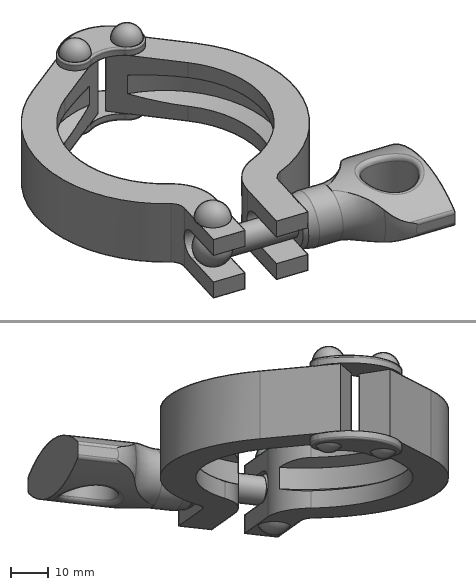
import cadquery as cq
import math


ring_inner_radius = 29.2
band_thickness = 9.6
band_height = 19.0
flank_angle = 140.4
hinge_gap = 2.2
lug_gap = 9.6
lug_end_x = 55.6
neck_radius = 3.9

groove_radius = 33.7
groove_mouth_height = 9.3
groove_floor_height = 6.0

rivet_x = -37.6
rivet_y = 7.9
link_left_x = -46.9
link_waist_x = -34.9
link_end_radius = 5.0
link_thickness = 2.3
link_edge_round = 0.7
rivet_ball_radius = 4.5
rivet_top_rise = 4.1
rivet_bottom_rise = 1.7

bolt_x = 46.0
bolt_radius = 4.0
slot_width = 8.7
slot_start_x = 38.5
eye_radius = 5.6
pivot_ball_radius = 5.1
pivot_top_rise = 4.6
pivot_bottom_rise = 2.3

nut_radius = 8.0
nut_seat_radius = 6.7
nut_lip_radius = 7.5
nut_lip_length = 1.3
nut_taper_length = 4.3
nut_neck_y = 25.8
nut_top_y = 54.5
neck_sweep_radius = 11.7
shoulder_radius = 9.9
flare_radius = 18.3
wing_half_width = 18.2
wing_half_thickness = 7.9
wing_edge_half_thickness = 2.1
wing_edge_round = 1.3
eyelet_y = 44.0
eyelet_radius = 7.9
eyelet_round = 1.3

ring_outer_radius = ring_inner_radius + band_thickness
half_height = band_height / 2
lug_inner_y = lug_gap / 2
lug_outer_y = lug_inner_y + band_thickness
lug_mid_y = (lug_inner_y + lug_outer_y) / 2
link_face_z = half_height + link_thickness


def polar(center, radius, angle):
    """Point at a radius and an angle in radians around a center."""
    return (center[0] + radius * math.cos(angle), center[1] + radius * math.sin(angle))


def band_half():
    """Half clamp at +Y: straight flank, ring arc, neck bend and lug."""
    normal = math.radians(flank_angle)
    flank_length = (ring_inner_radius * math.sin(normal) - hinge_gap / 2) / -math.cos(normal)

    neck_center_y = lug_outer_y + neck_radius
    neck_distance = ring_outer_radius + neck_radius
    neck_angle = math.asin(neck_center_y / neck_distance)
    neck_center = polar((0, 0), neck_distance, neck_angle)
    ring_mid_angle = (normal + neck_angle) / 2
    bend_start = math.pi + neck_angle
    bend_mid = (bend_start + 1.5 * math.pi) / 2
    inner_bend_radius = neck_radius + band_thickness

    def flank_end(radius):
        return polar(polar((0, 0), radius, normal), flank_length, normal + math.pi / 2)

    outline = (
        cq.Workplane("XY", origin=(0, 0, -half_height))
        .moveTo(*flank_end(ring_outer_radius))
        .lineTo(*polar((0, 0), ring_outer_radius, normal))
        .threePointArc(
            polar((0, 0), ring_outer_radius, ring_mid_angle),
            polar((0, 0), ring_outer_radius, neck_angle),
        )
        .threePointArc(polar(neck_center, neck_radius, bend_mid), (neck_center[0], lug_outer_y))
        .lineTo(lug_end_x, lug_outer_y)
        .lineTo(lug_end_x, lug_inner_y)
        .lineTo(neck_center[0], lug_inner_y)
        .threePointArc(
            polar(neck_center, inner_bend_radius, bend_mid),
            polar(neck_center, inner_bend_radius, bend_start),
        )
        .threePointArc(
            polar((0, 0), ring_inner_radius, ring_mid_angle),
            polar((0, 0), ring_inner_radius, normal),
        )
        .lineTo(*flank_end(ring_inner_radius))
        .close()
    )
    return outline.extrude(band_height)


def flange_groove():
    """Solid of revolution whose rim leaves the tapered groove in the ring."""
    mouth = groove_mouth_height / 2
    floor = groove_floor_height / 2
    return (
        cq.Workplane("XZ")
        .polyline([
            (0, -mouth),
            (ring_inner_radius, -mouth),
            (groove_radius, -floor),
            (groove_radius, floor),
            (ring_inner_radius, mouth),
            (0, mouth),
        ])
        .close()
        .revolve(360, (0, 0), (0, 1))
    )


def bolt_slot():
    """Slot through both lugs, open at the lug ends and round at the start."""
    round_x = slot_start_x + slot_width / 2
    slot_length = lug_end_x - round_x
    round_end = (
        cq.Workplane("XZ")
        .center(round_x, 0)
        .circle(slot_width / 2)
        .extrude(lug_outer_y, both=True)
    )
    straight = (
        cq.Workplane("XY")
        .box(slot_length, 2 * lug_outer_y, slot_width)
        .translate((round_x + slot_length / 2, 0, 0))
    )
    return round_end.union(straight)


def ball_cap(x, y, face_z, ball_radius, rise):
    """Ball segment of a given rise standing on the plane Z = face_z."""
    foot_radius = math.sqrt(ball_radius**2 - (ball_radius - rise) ** 2)
    shoulder = polar((0, rise - ball_radius), ball_radius, math.pi / 4)
    cap = (
        cq.Workplane("XZ")
        .moveTo(0, 0)
        .lineTo(foot_radius, 0)
        .threePointArc(shoulder, (0, rise))
        .close()
        .revolve(360, (0, 0), (0, 1))
    )
    return cap.translate((x, y, face_z))


def flip(body):
    """Turn a body upside down about the mid-height plane."""
    return body.mirror("XY")


def hinge_link():
    """Curved link on top of the band, round-ended around both rivets."""
    outer_reach = rivet_x - link_left_x
    outer_offset = outer_reach**2 + rivet_y**2 - link_end_radius**2
    outer_radius = outer_offset / (2 * (outer_reach - link_end_radius))
    waist_reach = link_waist_x - rivet_x
    waist_offset = waist_reach**2 + rivet_y**2 - link_end_radius**2
    waist_radius = waist_offset / (2 * (link_end_radius - waist_reach))
    outer_center_x = link_left_x + outer_radius
    waist_center_x = link_waist_x + waist_radius

    outer_angle = math.atan2(rivet_y, rivet_x - outer_center_x)
    waist_angle = math.atan2(rivet_y, rivet_x - waist_center_x)
    outer_top = polar((outer_center_x, 0), outer_radius, outer_angle)
    outer_bottom = (outer_top[0], -outer_top[1])
    waist_top = polar((waist_center_x, 0), waist_radius, waist_angle)
    waist_bottom = (waist_top[0], -waist_top[1])
    end_mid_angle = (outer_angle + waist_angle - math.pi) / 2
    end_top = polar((rivet_x, rivet_y), link_end_radius, end_mid_angle)
    end_bottom = (end_top[0], -end_top[1])
    return (
        cq.Workplane("XY", origin=(0, 0, half_height))
        .moveTo(*outer_bottom)
        .threePointArc((link_left_x, 0), outer_top)
        .threePointArc(end_top, waist_top)
        .threePointArc((link_waist_x, 0), waist_bottom)
        .threePointArc(end_bottom, outer_bottom)
        .close()
        .extrude(link_thickness)
        .faces(">Z")
        .edges()
        .fillet(link_edge_round)
    )


def swing_bolt():
    """Bolt along Y with a ball eye at the pivot in the -Y lug."""
    shank = (
        cq.Workplane("XZ", origin=(bolt_x, -lug_mid_y, 0))
        .circle(bolt_radius)
        .extrude(-(lug_mid_y + nut_neck_y))
    )
    eye = cq.Workplane("XY").sphere(eye_radius).translate((bolt_x, -lug_mid_y, 0))
    return shank.union(eye)


def wing_nut():
    """Barrel flaring into two wings, thinned to a lens section, with an eyelet."""
    sweep_center = (nut_radius + neck_sweep_radius, nut_neck_y)
    shoulder_center_x = flare_radius - shoulder_radius
    center_distance = neck_sweep_radius + shoulder_radius
    blend_angle = math.acos((sweep_center[0] - shoulder_center_x) / center_distance)
    shoulder_center = (shoulder_center_x, nut_neck_y + center_distance * math.sin(blend_angle))
    sweep_mid_angle = math.pi - blend_angle / 2
    flare = (
        cq.Workplane("XY")
        .moveTo(0, lug_outer_y)
        .lineTo(nut_seat_radius, lug_outer_y)
        .lineTo(nut_lip_radius, lug_outer_y + nut_lip_length)
        .lineTo(nut_radius, lug_outer_y + nut_taper_length)
        .lineTo(nut_radius, nut_neck_y)
        .threePointArc(
            polar(sweep_center, neck_sweep_radius, sweep_mid_angle),
            polar(sweep_center, neck_sweep_radius, math.pi - blend_angle),
        )
        .threePointArc(
            polar(shoulder_center, shoulder_radius, -blend_angle / 2),
            (flare_radius, shoulder_center[1]),
        )
        .lineTo(flare_radius, nut_top_y)
        .lineTo(0, nut_top_y)
        .close()
        .revolve(360, (0, 0), (0, 1))
    )
    lens = (
        cq.Workplane("XZ", origin=(0, nut_neck_y, 0))
        .moveTo(-wing_half_width, wing_edge_half_thickness)
        .threePointArc((0, wing_half_thickness), (wing_half_width, wing_edge_half_thickness))
        .lineTo(wing_half_width, -wing_edge_half_thickness)
        .threePointArc((0, -wing_half_thickness), (-wing_half_width, -wing_edge_half_thickness))
        .close()
        .extrude(nut_neck_y - nut_top_y)
        .edges("|Y")
        .fillet(wing_edge_round)
        .cut(cq.Workplane("XY").center(0, eyelet_y).circle(eyelet_radius).extrude(nut_top_y, both=True))
    )
    rim_reach = eyelet_radius + eyelet_round
    eyelet_rims = cq.selectors.BoxSelector(
        (-rim_reach, eyelet_y - rim_reach, -wing_half_width),
        (rim_reach, eyelet_y + rim_reach, wing_half_width),
        boundingbox=True,
    )
    lens = lens.edges(eyelet_rims).edges("not |Z").fillet(eyelet_round)
    barrel_length = nut_neck_y - lug_outer_y
    barrel_zone = (
        cq.Workplane("XY")
        .box(2 * flare_radius, barrel_length, 2 * flare_radius)
        .translate((0, lug_outer_y + barrel_length / 2, 0))
    )
    return flare.intersect(lens).union(flare.intersect(barrel_zone)).translate((bolt_x, 0, 0))


upper_half = band_half()
result = upper_half.union(upper_half.mirror("XZ")).cut(flange_groove()).cut(bolt_slot())

link = hinge_link()
result = result.union(link).union(flip(link))
for side in (-1, 1):
    rivet_top = ball_cap(rivet_x, side * rivet_y, link_face_z, rivet_ball_radius, rivet_top_rise)
    rivet_bottom = flip(ball_cap(rivet_x, side * rivet_y, link_face_z, rivet_ball_radius, rivet_bottom_rise))
    result = result.union(rivet_top).union(rivet_bottom)

pivot_top = ball_cap(bolt_x, -lug_mid_y, half_height, pivot_ball_radius, pivot_top_rise)
pivot_bottom = flip(ball_cap(bolt_x, -lug_mid_y, half_height, pivot_ball_radius, pivot_bottom_rise))
result = result.union(swing_bolt()).union(pivot_top).union(pivot_bottom).union(wing_nut())